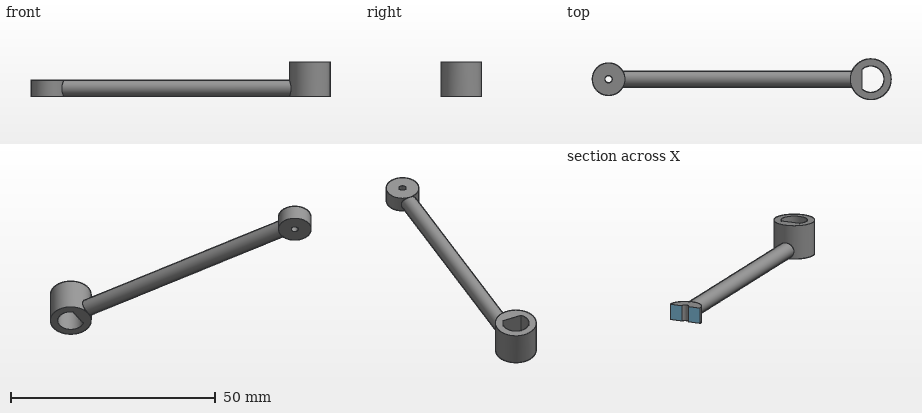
import cadquery as cq

arm_length = 64.0
rod_diameter = 4.0
small_boss_diameter = 8.0
small_boss_height = rod_diameter
pin_hole_diameter = 1.71
hub_diameter = 10.0
hub_height = 8.5
shaft_bore_diameter = 6.4
shaft_flat_offset = 2.1


def cylinder(x, diameter, height):
    """Upright cylinder standing on Z = 0 with its axis at X = x."""
    return cq.Workplane("XY").center(x, 0).circle(diameter / 2).extrude(height)


def rod():
    """Round rod joining the two boss axes, resting on Z = 0."""
    return (
        cq.Workplane("YZ")
        .center(0, rod_diameter / 2)
        .circle(rod_diameter / 2)
        .extrude(arm_length)
    )


def shaft_bore():
    """D-shaped through bore of the hub, with its flat facing the small boss."""
    flat_x = arm_length - shaft_flat_offset
    flat_side = (
        cq.Workplane("XY")
        .box(hub_diameter, hub_diameter, hub_height, centered=(False, True, False))
        .translate((flat_x, 0, 0))
    )
    return cylinder(arm_length, shaft_bore_diameter, hub_height).intersect(flat_side)


small_boss = cylinder(0, small_boss_diameter, small_boss_height)
hub = cylinder(arm_length, hub_diameter, hub_height)
pin_hole = cylinder(0, pin_hole_diameter, small_boss_height)

result = rod().union(small_boss).union(hub).cut(pin_hole).cut(shaft_bore())